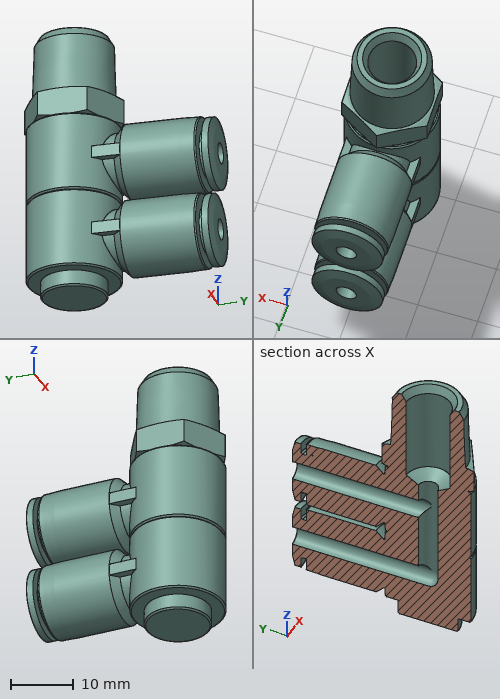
import cadquery as cq
import math

sleeve_diameter = 15.4
sleeve_height = 13.2
sleeve_chamfer = 0.25
stub_diameter = 10.8
stub_height = 2.65
stub_chamfer = 0.25
sleeve_count = 2
sleeve_bottoms = [stub_height + i * sleeve_height for i in range(sleeve_count)]

hex_bottom = stub_height + sleeve_count * sleeve_height
hex_top = 33.67
hex_flats = 14.25
hex_corner_diameter = hex_flats / math.cos(math.radians(30))
hex_corner_drop = 0.3
thread_top = 44.6
thread_base_diameter = 13.45
thread_end_diameter = 12.85
thread_tip_diameter = 11.2
thread_tip_height = 1.4

bore_diameter = 7.75
bore_mouth_diameter = 9.4
bore_mouth_depth = 1.3
bore_bottom = 28.55
passage_diameter = 3.4
bore_floor_angle = 30
bore_cone_height = (bore_diameter - passage_diameter) / 2 * math.tan(math.radians(bore_floor_angle))

port_pitch = sleeve_height
lower_port_height = 9.2
port_heights = [lower_port_height + i * port_pitch for i in range(sleeve_count)]
port_diameter = 12.5
port_end_diameter = 12.1
port_rim_diameter = 12.3
port_root_diameter = 9.95
port_root_end = 7.95
port_cone_end = 9.28
port_taper_start = 18.8
port_rim_start = 20.8
port_rim_end = 21.5
port_end = 21.75
collar_neck_diameter = 7.85
collar_fillet_diameter = 8.3
collar_fillet_start = 22.3
collar_flange_start = 22.65
collar_flange_end = 23.75
collar_flange_diameter = 11.8
collar_face_diameter = 8.1
collar_end = 24.2
rib_width = 12.35
rib_thickness = 2.0


def disc(diameter, bottom, top):
    """Upright cylinder on the Z axis between two heights."""
    return cq.Workplane("XY").workplane(offset=bottom).circle(diameter / 2).extrude(top - bottom)


def revolve_z(stations):
    """Solid of revolution about Z from (diameter, height) stations."""
    outline = [(0, stations[0][1])]
    outline += [(diameter / 2, height) for diameter, height in stations]
    outline.append((0, stations[-1][1]))
    return cq.Workplane("XZ").polyline(outline).close().revolve(360, (0, 0), (0, 1))


def along_y(solid, height):
    """Turn a Z-axis solid to point along +Y at the given height."""
    return solid.rotate((0, 0, 0), (1, 0, 0), -90).translate((0, 0, height))


def make_sleeve(bottom):
    sleeve = disc(sleeve_diameter, bottom, bottom + sleeve_height)
    return sleeve.faces("<Z or >Z").chamfer(sleeve_chamfer)


def make_hexagon():
    height = hex_top - hex_bottom
    prism = (
        cq.Workplane("XY").workplane(offset=hex_bottom)
        .polygon(6, hex_corner_diameter).extrude(height)
        .rotate((0, 0, 0), (0, 0, 1), 90)
    )
    corner_trim = revolve_z([
        (hex_flats, hex_bottom),
        (hex_corner_diameter, hex_bottom + hex_corner_drop),
        (hex_corner_diameter, hex_top - hex_corner_drop),
        (hex_flats, hex_top),
    ])
    return prism.intersect(corner_trim)


def make_thread():
    return revolve_z([
        (thread_base_diameter, hex_top),
        (thread_end_diameter, thread_top - thread_tip_height),
        (thread_tip_diameter, thread_top),
    ])


def make_port(height):
    port = revolve_z([
        (port_root_diameter, 0),
        (port_root_diameter, port_root_end),
        (port_diameter, port_cone_end),
        (port_diameter, port_taper_start),
        (port_rim_diameter, port_rim_start),
        (port_rim_diameter, port_rim_end),
        (port_end_diameter, port_end),
        (collar_neck_diameter, port_end),
        (collar_neck_diameter, collar_fillet_start),
        (collar_fillet_diameter, collar_flange_start),
        (collar_flange_diameter, collar_flange_start),
        (collar_flange_diameter, collar_flange_end),
        (collar_face_diameter, collar_end),
    ])
    ribs = cq.Workplane("XY").box(rib_width, port_cone_end, rib_thickness, centered=(True, False, True))
    return along_y(port, height).union(ribs.translate((0, 0, height)))


def make_passages():
    """Thread-end bore, vertical drilling with a rounded floor, and port legs."""
    bore = revolve_z([
        (passage_diameter, lower_port_height),
        (passage_diameter, bore_bottom - bore_cone_height),
        (bore_diameter, bore_bottom),
        (bore_diameter, thread_top - bore_mouth_depth),
        (bore_mouth_diameter, thread_top),
    ])
    rounded_floor = cq.Workplane("XY").sphere(passage_diameter / 2)
    bore = bore.union(rounded_floor.translate((0, 0, lower_port_height)))
    for height in port_heights:
        bore = bore.union(along_y(disc(passage_diameter, 0, collar_end), height))
    return bore


result = disc(stub_diameter, 0, stub_height).faces("<Z").chamfer(stub_chamfer)
for sleeve_bottom in sleeve_bottoms:
    result = result.union(make_sleeve(sleeve_bottom))
for port_height in port_heights:
    result = result.union(make_port(port_height))
result = result.union(make_hexagon()).union(make_thread()).cut(make_passages())